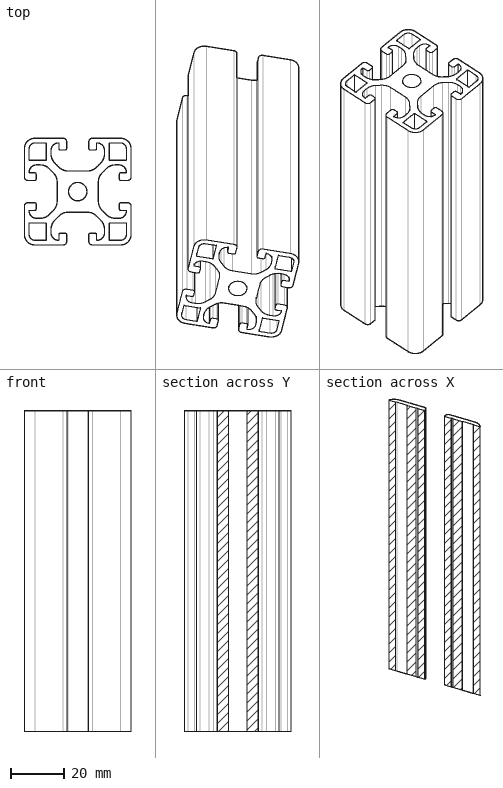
import cadquery as cq
import math

SIDE = 40.0
LENGTH = 120.0
CORNER_RADIUS = 4.0
WALL = 1.85
BORE_DIAMETER = 6.8

SLOT_COUNT = 4
SLOT_OPENING = 8.2
CHAMBER_WIDTH = 19.9
CORE_WIDTH = 15.5
WEB_THICKNESS = 3.0
WEB_RADIUS = 4.8
SHOULDER_RADIUS = 2.7

LIP_THICKNESS = 3.0
LIP_DEPTH = 4.5
LIP_OUTER_RADIUS = 1.4
LIP_INNER_RADIUS = 0.7

half_side = SIDE / 2
chamber_floor = CORE_WIDTH / 2
chamber_roof = half_side - WALL
lip_edge = SLOT_OPENING / 2
lip_root = lip_edge + LIP_THICKNESS
web_chamfer = (CHAMBER_WIDTH - CORE_WIDTH) / 2 + WEB_THICKNESS / math.sqrt(2)
pocket_inner = CHAMBER_WIDTH / 2 + WALL
pocket_outer = chamber_roof


def bar(x_min, x_max, y_min, y_max):
    """Full-length rectangular bar spanning the given X and Y ranges."""
    width = x_max - x_min
    depth = y_max - y_min
    return cq.Workplane("XY").box(width, depth, LENGTH, centered=False).translate((x_min, y_min, 0))


def around_axis(shape, index):
    """Copy of a shape turned about Z to the side or corner with this index."""
    return shape.rotate((0, 0, 0), (0, 0, 1), index * 360 / SLOT_COUNT)


def make_slot():
    """Void of the +Y slot: rounded chamber with diagonal webs, plus an opening as wide as the lip roots."""
    chamber = bar(-CHAMBER_WIDTH / 2, CHAMBER_WIDTH / 2, chamber_floor, chamber_roof)
    chamber = chamber.edges("|Z and <Y").chamfer(web_chamfer)
    chamber = chamber.edges("|Z and (not >Y)").fillet(WEB_RADIUS)
    chamber = chamber.edges("|Z and >Y").fillet(SHOULDER_RADIUS)
    opening = bar(-lip_root, lip_root, chamber_roof, half_side)
    return chamber.union(opening)


def make_lips():
    """Pair of rounded lips that narrow the +Y slot opening."""
    lip = bar(lip_edge, lip_root, half_side - LIP_DEPTH, half_side)
    lip = lip.edges("|Z and >Y and <X").fillet(LIP_OUTER_RADIUS)
    lip = lip.edges("|Z and <Y").fillet(LIP_INNER_RADIUS)
    return lip.union(lip.mirror("YZ"))


def make_pocket():
    """Square through pocket of the +X +Y corner, rounded to follow the outside corner."""
    pocket = bar(pocket_inner, pocket_outer, pocket_inner, pocket_outer)
    return pocket.edges("|Z and >X and >Y").fillet(CORNER_RADIUS - WALL)


def make_profile():
    body = bar(-half_side, half_side, -half_side, half_side)
    body = body.edges("|Z").fillet(CORNER_RADIUS)
    body = body.faces(">Z").workplane(origin=(0, 0, 0)).hole(BORE_DIAMETER)
    slot = make_slot()
    lips = make_lips()
    pocket = make_pocket()
    for index in range(SLOT_COUNT):
        body = body.cut(around_axis(slot, index))
        body = body.union(around_axis(lips, index))
        body = body.cut(around_axis(pocket, index))
    return body


result = make_profile()